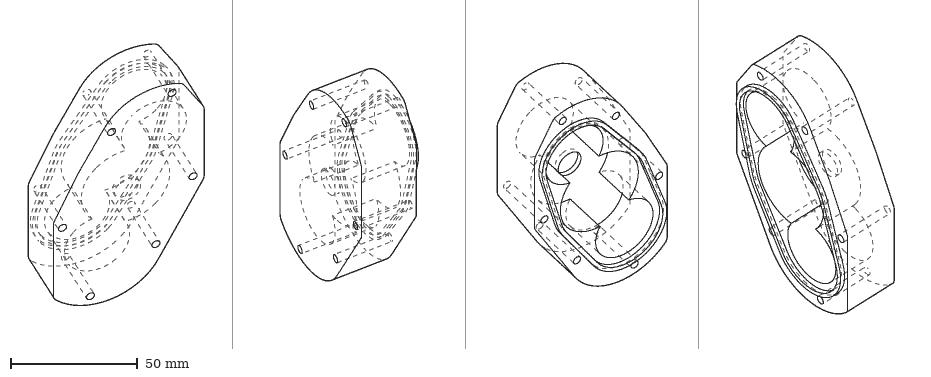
import cadquery as cq
import math


body_depth = 24.9
side_left = 31.6
side_right = -33.1
left_corner_top_z = 35.0
left_corner_bottom_z = -2.9
right_corner_z = -3.7
right_kink = (-22.6, 19.0)
bevel_angle = 30.0
top_arc_radius = 26.8
bottom_arc_radius = 27.5
corner_radius = 4.0

lobe_y = 12.2
lobe_z = 26.3
upper_lobe = (lobe_y, lobe_z)
center = (0.0, 0.0)
lower_lobe = (-lobe_y, -lobe_z)
lobe_radius = 14.0
center_radius = 19.0
cavity_depth = 19.9
shaft_radius = 5.6
shaft_recess_depth = 2.1

rim_height = 2.1
rim_width = 1.9
rim_upper_radius = 17.3
rim_center_radius = 22.6
rim_lower_radius = 19.1

screw_radius = 1.7
screw_points = [
    (17.9, 47.6), (-8.1, 36.1), (26.8, -0.4),
    (-29.2, -7.6), (10.9, -31.0), (-17.2, -48.6),
]


def polar(middle, radius, angle):
    return (middle[0] + radius * math.cos(angle), middle[1] + radius * math.sin(angle))


def tangent_point(point, middle, radius, side):
    """Touch point on a circle of a line from point; side +1 is counterclockwise."""
    dy = point[0] - middle[0]
    dz = point[1] - middle[1]
    return polar(middle, radius, math.atan2(dz, dy) + side * math.acos(radius / math.hypot(dy, dz)))


def direction_to(middle, point):
    return math.atan2(point[1] - middle[1], point[0] - middle[0])


def line_circle_exit(point, direction, middle, radius):
    """Far crossing of a circle by a line through point along a unit direction."""
    dy = point[0] - middle[0]
    dz = point[1] - middle[1]
    along = dy * direction[0] + dz * direction[1]
    reach = -along + math.sqrt(along**2 - dy**2 - dz**2 + radius**2)
    return (point[0] + reach * direction[0], point[1] + reach * direction[1])


def arc_middle(middle, radius, start, end):
    """Halfway point of the counterclockwise arc from start to end."""
    first = direction_to(middle, start)
    sweep = (direction_to(middle, end) - first) % (2 * math.pi)
    return polar(middle, radius, first + sweep / 2)


def make_body():
    left_top = (side_left, left_corner_top_z)
    left_bottom = (side_left, left_corner_bottom_z)
    bevel = math.radians(bevel_angle)
    bevel_end = line_circle_exit(
        left_top, (-math.sin(bevel), math.cos(bevel)), upper_lobe, top_arc_radius
    )
    flank_start = tangent_point(right_kink, upper_lobe, top_arc_radius, -1)
    right_corner = (side_right, right_corner_z)
    bend_turn = direction_to(right_kink, right_corner) - direction_to(flank_start, right_kink)
    bend_reach = corner_radius * math.tan(abs(bend_turn) / 2)
    bend_start = polar(right_kink, bend_reach, direction_to(right_kink, flank_start))
    bend_end = polar(right_kink, bend_reach, direction_to(right_kink, right_corner))
    bottom_start = tangent_point(left_bottom, lower_lobe, bottom_arc_radius, -1)
    bottom_end = line_circle_exit(
        (side_right, lower_lobe[1]), (0, -1), lower_lobe, bottom_arc_radius
    )
    top_middle = arc_middle(upper_lobe, top_arc_radius, bevel_end, flank_start)
    bottom_middle = arc_middle(lower_lobe, bottom_arc_radius, bottom_end, bottom_start)
    body = (
        cq.Workplane("YZ")
        .moveTo(*left_bottom)
        .lineTo(*left_top)
        .lineTo(*bevel_end)
        .threePointArc(top_middle, flank_start)
        .lineTo(*bend_start)
        .tangentArcPoint(bend_end, relative=False)
        .lineTo(*right_corner)
        .lineTo(*bottom_end)
        .threePointArc(bottom_middle, bottom_start)
        .close()
        .extrude(body_depth)
    )
    corners = [left_bottom, left_top, bevel_end, right_corner, bottom_end]
    for y, z in corners:
        edge = cq.selectors.NearestToPointSelector((body_depth / 2, y, z))
        body = body.edges("|X").edges(edge).fillet(corner_radius)
    return body


def outer_tangent(first, first_radius, second, second_radius):
    """Ends of the tangent on the right-hand side going from first to second."""
    dy = second[0] - first[0]
    dz = second[1] - first[1]
    angle = math.atan2(dz, dy) - math.acos((first_radius - second_radius) / math.hypot(dy, dz))
    return polar(first, first_radius, angle), polar(second, second_radius, angle)


def make_belt(inset):
    """Solid bounded by a belt wrapped around the three bores, moved inward by inset."""
    upper = (upper_lobe, rim_upper_radius - inset)
    middle = (center, rim_center_radius - inset)
    lower = (lower_lobe, rim_lower_radius - inset)
    loop = [upper, middle, lower, middle]
    spans = [outer_tangent(*loop[i], *loop[(i + 1) % len(loop)]) for i in range(len(loop))]
    belt = cq.Workplane("YZ").moveTo(*spans[0][0])
    for i, span in enumerate(spans):
        following = (i + 1) % len(loop)
        arc_end = spans[following][0]
        belt = belt.lineTo(*span[1])
        belt = belt.threePointArc(arc_middle(*loop[following], span[1], arc_end), arc_end)
    return belt.close().extrude(-rim_height)


def make_cylinder(point, radius, start, depth):
    return cq.Workplane("YZ", origin=(start, 0, 0)).center(*point).circle(radius).extrude(depth)


rim = make_belt(0).cut(make_belt(rim_width))
result = make_body().union(rim)

bores = [(upper_lobe, lobe_radius), (center, center_radius), (lower_lobe, lobe_radius)]
for bore_center, bore_radius in bores:
    result = result.cut(make_cylinder(bore_center, bore_radius, 0, cavity_depth))

result = result.cut(make_cylinder(center, shaft_radius, cavity_depth, shaft_recess_depth))

for screw_point in screw_points:
    result = result.cut(make_cylinder(screw_point, screw_radius, 0, body_depth))